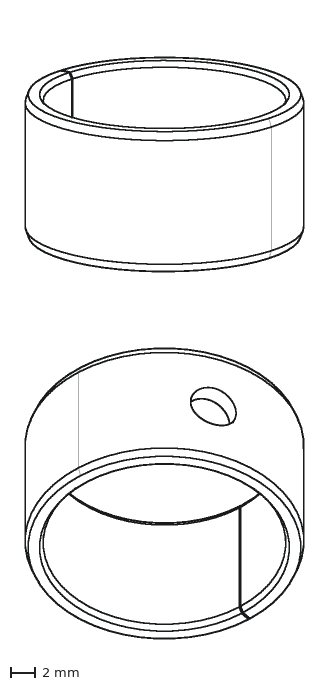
import cadquery as cq
import math

outer_diameter = 23.0
bore_diameter = 20.0
length = 12.0

outer_chamfer_length = 0.7
outer_chamfer_angle = 20.0
outer_chamfer_depth = outer_chamfer_length * math.tan(math.radians(outer_chamfer_angle))

bore_chamfer_depth = 0.3
bore_chamfer_length = 0.5

split_width = 0.15

oil_hole_diameter = 4.0
oil_hole_angle = 59.0

outer_radius = outer_diameter / 2
bore_radius = bore_diameter / 2


def make_ring():
    """Revolve the wall section, with both ends chamfered, about Z."""
    section = [
        (bore_radius, bore_chamfer_length),
        (bore_radius + bore_chamfer_depth, 0),
        (outer_radius - outer_chamfer_depth, 0),
        (outer_radius, outer_chamfer_length),
        (outer_radius, length - outer_chamfer_length),
        (outer_radius - outer_chamfer_depth, length),
        (bore_radius + bore_chamfer_depth, length),
        (bore_radius, length - bore_chamfer_length),
    ]
    return cq.Workplane("XZ").polyline(section).close().revolve(360, (0, 0, 0), (0, 1, 0))


def make_split():
    """Thin slab that cuts the wall open along its full length."""
    slab = cq.Workplane("XY").box(outer_radius, split_width, length, centered=False)
    return slab.translate((-outer_radius, 0, 0))


def make_oil_hole():
    """Cylinder running from the axis out through one side of the wall."""
    hole = cq.Workplane("YZ").center(0, length / 2).circle(oil_hole_diameter / 2).extrude(outer_radius)
    return hole.rotate((0, 0, 0), (0, 0, 1), oil_hole_angle)


result = make_ring().cut(make_split()).cut(make_oil_hole())